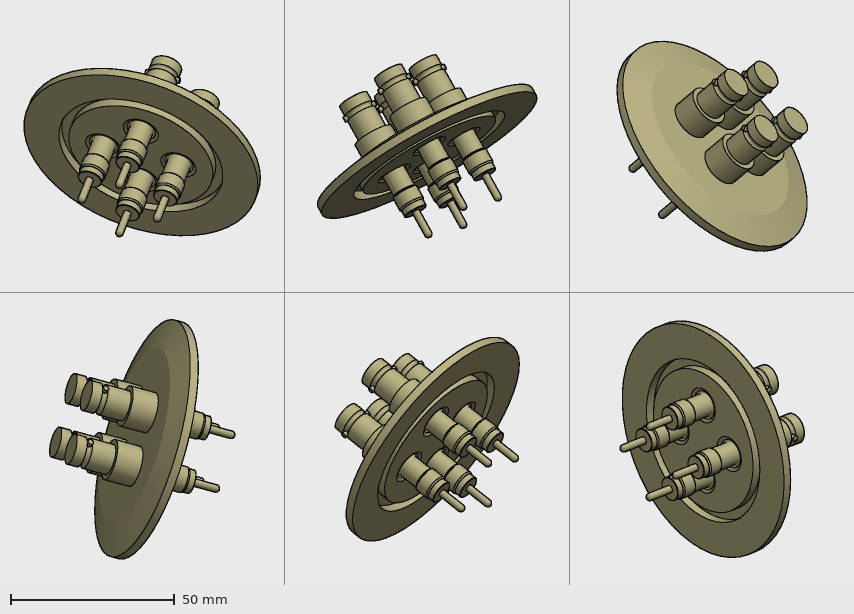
import cadquery as cq
import math


flange_radius = 37.5
rim_thickness = 2.7
flange_thickness = 5.25
flat_back_radius = 27.8
ring_groove_inner_radius = 23.1
ring_groove_outer_radius = 26.2
ring_groove_depth = 3.0

connector_count = 4
connector_circle_radius = 12.1

boss_radius = 6.4
boss_back = 13.55
barrel_radius = 4.8
barrel_back = 26.4
bayonet_center = 22.1
bayonet_groove_half_width = 0.9
bayonet_groove_depth = 0.64
bayonet_pin_radius = bayonet_groove_half_width
bayonet_pin_reach = 5.5

tube_radius = 3.7
tube_taper_start = -6.3
tube_end_radius = 3.5
collar_radius = 4.1
collar_back = -6.75
collar_front = -10.9
collar_taper_radius = 3.9
cap_radius = 3.75
cap_back = -11.5
cap_front = -13.55
cap_chamfer = 0.15
contact_radius = 1.2
contact_tip = -22.8

recess_radius = 5.6
channel_radius = 4.6
countersink_depth = 0.5


def revolve_about_y(profile):
    """Close a half profile drawn in (radius, Y) and spin it about the Y axis."""
    return profile.close().revolve(360, (0, 0, 0), (0, 1, 0))


def make_flange():
    blank = revolve_about_y(
        cq.Workplane("XY")
        .lineTo(flange_radius, 0)
        .lineTo(flange_radius, rim_thickness)
        .lineTo(flat_back_radius, flange_thickness)
        .lineTo(0, flange_thickness)
    )
    ring_groove = revolve_about_y(
        cq.Workplane("XY")
        .moveTo(ring_groove_inner_radius, 0)
        .lineTo(ring_groove_outer_radius, 0)
        .lineTo(ring_groove_outer_radius, ring_groove_depth)
        .lineTo(ring_groove_inner_radius, ring_groove_depth)
    )
    return blank.cut(ring_groove)


def make_recess():
    channel_half_width = (channel_radius - tube_radius) / 2
    return revolve_about_y(
        cq.Workplane("XY")
        .moveTo(tube_radius, 0)
        .lineTo(recess_radius, 0)
        .lineTo(channel_radius, countersink_depth)
        .threePointArc(
            (tube_radius + channel_half_width, countersink_depth + channel_half_width),
            (tube_radius, countersink_depth),
        )
    )


def make_back_half():
    groove_front = bayonet_center - bayonet_groove_half_width
    groove_back = bayonet_center + bayonet_groove_half_width
    body = revolve_about_y(
        cq.Workplane("XY")
        .moveTo(0, rim_thickness)
        .lineTo(boss_radius, rim_thickness)
        .lineTo(boss_radius, boss_back)
        .lineTo(barrel_radius, boss_back)
        .lineTo(barrel_radius, groove_front)
        .threePointArc(
            (barrel_radius - bayonet_groove_depth, bayonet_center),
            (barrel_radius, groove_back),
        )
        .lineTo(barrel_radius, barrel_back)
        .lineTo(0, barrel_back)
    )
    bayonet_pins = (
        cq.Workplane("YZ")
        .center(bayonet_center, 0)
        .circle(bayonet_pin_radius)
        .extrude(bayonet_pin_reach, both=True)
    )
    return body.union(bayonet_pins)


def make_front_half():
    tip_center = contact_tip + contact_radius
    tip_diagonal = contact_radius * math.sqrt(0.5)
    return revolve_about_y(
        cq.Workplane("XY")
        .moveTo(0, rim_thickness)
        .lineTo(tube_radius, rim_thickness)
        .lineTo(tube_radius, tube_taper_start)
        .lineTo(tube_end_radius, collar_back)
        .lineTo(collar_radius, collar_back)
        .lineTo(collar_radius, collar_front)
        .lineTo(collar_taper_radius, cap_back)
        .lineTo(cap_radius, cap_back)
        .lineTo(cap_radius, cap_front + cap_chamfer)
        .lineTo(cap_radius - cap_chamfer, cap_front)
        .lineTo(contact_radius, cap_front)
        .lineTo(contact_radius, tip_center)
        .threePointArc((tip_diagonal, tip_center - tip_diagonal), (0, contact_tip))
    )


flange = make_flange()
recess = make_recess()
connector = make_back_half().union(make_front_half())

result = flange
for index in range(connector_count):
    angle = index * 2 * math.pi / connector_count
    center = (
        connector_circle_radius * math.cos(angle),
        0,
        connector_circle_radius * math.sin(angle),
    )
    result = result.cut(recess.translate(center))
    result = result.union(connector.translate(center))